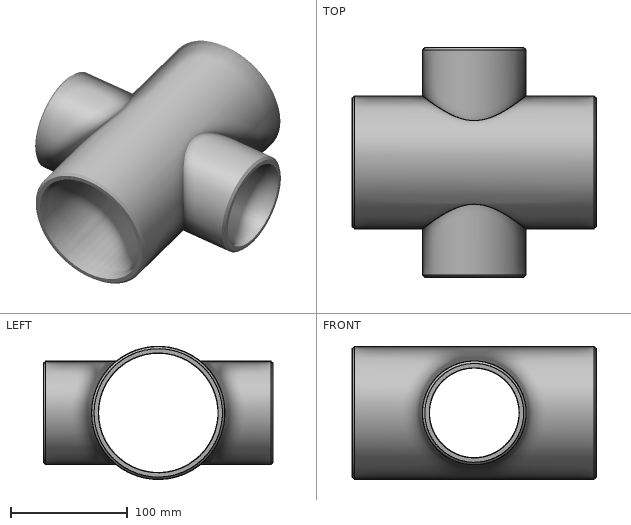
import cadquery as cq

run_length = 209.3
run_diameter = 114.3
run_bore = 102.3
branch_length = 197.2
branch_diameter = 89.0
branch_bore = 76.8
end_chamfer = 2.0


def run_cylinder(diameter):
    return cq.Workplane("YZ").circle(diameter / 2).extrude(run_length / 2, both=True)


def branch_cylinder(diameter):
    return cq.Workplane("XZ").circle(diameter / 2).extrude(branch_length / 2, both=True)


run = run_cylinder(run_diameter).faces("<X or >X").edges().chamfer(end_chamfer)
branch = branch_cylinder(branch_diameter).faces("<Y or >Y").edges().chamfer(end_chamfer)

result = run.union(branch).cut(run_cylinder(run_bore)).cut(branch_cylinder(branch_bore))